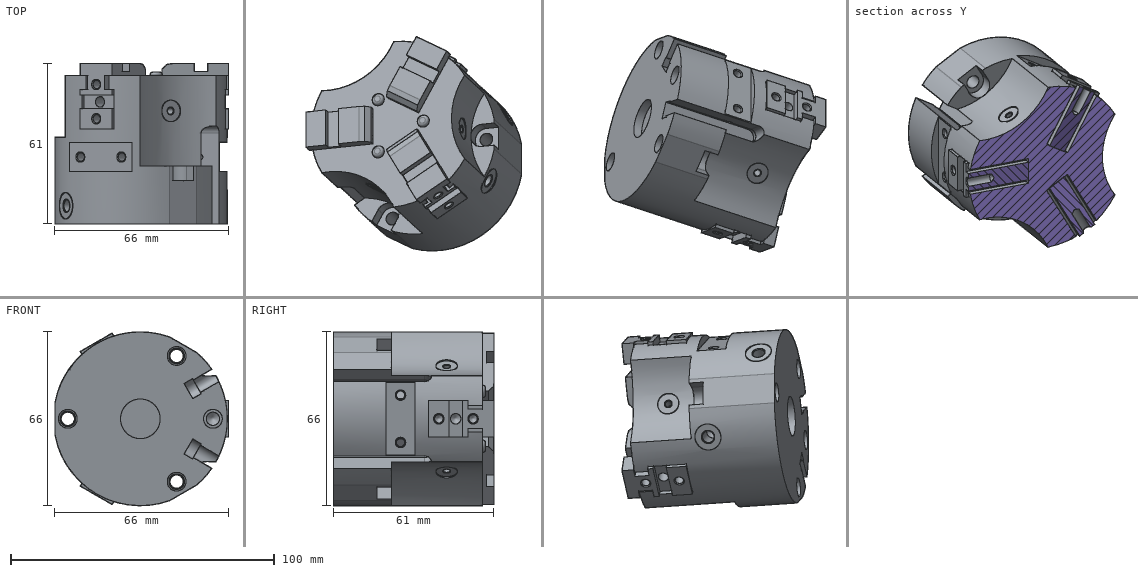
import cadquery as cq
import math


BODY_RADIUS = 33.0
COVER_SEAT = 51.0
COVER_TOP = 56.5
FLAT_RADIUS = 32.5
RECESS_ANGLES = (60, 180, 300)
RECESS_STARTS = {60: 22.0, 180: 33.0, 300: 22.0}
RECESS_RADIUS = 28.85
RECESS_AXIS = 52.1

CENTRE_BORE_RADIUS = 7.5
CENTRE_BORE_DEPTH = 3.3
BOLT_CIRCLE = 27.5
BOLT_RADIUS = 2.5
SLEEVE_RADIUS = 3.55
SLEEVE_DEPTH = 3.95
BOLT_CHAMFER = 0.45
BOLT_POCKET_RADIUS = 4.4
BOLT_POCKET_DEPTH = 5.5
BLIND_HOLE_DEPTH = 9.9
DRILL_HALF_ANGLE = math.radians(59)

SENSOR_ANGLES = (-30, 30)
SENSOR_END = 34.5
SENSOR_RADIUS = 2.7
SENSOR_HEAD_RADIUS = 3.3
SENSOR_HEAD_START = 21.05
SENSOR_HEAD_END = 24.75

JAW_ANGLES = (0, 120, 240)
JAW_FACE = 33.5
JAW_TIP = 8.1
JAW_WIDTH = 14.0
JAW_START = 36.1
JAW_END = 61.0
NECK_WIDTH = 7.4
COVER_SLOT_WIDTH = 9.95
TIP_BEVEL_START = 58.8
TIP_BEVEL_RADIUS = 10.1
TIP_BEVEL_END = 60.65
TIP_EASE_RADIUS = 12.3
KEYWAY_START = 20.5
KEYWAY_WIDTH = 5.0
KEYWAY_DEPTH = 3.0
GROOVE_START = 43.8
GROOVE_END = 49.0
GROOVE_FLOOR = 30.6
JAW_HOLE_PLACES = (40.0, 53.0)
GROOVE_HOLE_Y = (GROOVE_START + GROOVE_END) / 2
GROOVE_HOLE_RADIUS = 2.0

TAPPED_RADIUS = 2.0
TAPPED_CHAMFER = 0.4
TAPPED_DEPTH = 9.9

PAD_ANGLES = (0, 120)
PAD_RADIUS = 30.0
PAD_START = 20.0
PAD_END = 31.0
PAD_HOLE_Y = 25.5
PAD_HOLE_SPACING = 17.95

AIR_PORTS = ((150, 7.0), (210, 26.5))
PORT_SPOT_RADIUS = 5.0
PORT_MOUTH_RADIUS = 2.6
PORT_CHAMFER = 0.3
PORT_DEPTH = 9.9

PLUG_Y = 42.95
PLUG_FLOOR = 23.0
PLUG_SPOT_RADIUS = 4.1
PLUG_MOUTH_RADIUS = 1.5
PLUG_CHAMFER = 0.25
PLUG_HOLE_DEPTH = 5.3

SCREW_CIRCLE = 12.0
SCREW_RADIUS = 2.4
SCREW_HEIGHT = 1.25
SCREW_ROUNDING = 1.2

INWARD = (-1, 0, 0)
FORWARD = (0, 1, 0)

OUTSIDE = 39.6


def block(r0, r1, y0, y1, width):
    """Block from radius r0 to r1 and from y0 to y1, centred on z = 0."""
    box = cq.Workplane("XY").box(r1 - r0, y1 - y0, width, centered=(False, False, True))
    return box.translate((r0, y0, 0))


def axial(radius, y0, y1, r=0):
    """Cylinder along Y from y0 to y1, at distance r from the axis."""
    return cq.Workplane(cq.Solid.makeCylinder(radius, y1 - y0, cq.Vector(r, y0, 0), cq.Vector(0, 1, 0)))


def radial(radius, r0, r1, y):
    """Cylinder along X from radius r0 to r1, at height y above the mounting face."""
    return cq.Workplane(cq.Solid.makeCylinder(radius, r1 - r0, cq.Vector(r0, y, 0), cq.Vector(1, 0, 0)))


def turned(shape, angle):
    """Turn a shape about the axis, from +X toward +Z for a positive angle."""
    return shape.rotate((0, 0, 0), (0, -1, 0), angle)


def drilled(mouth_radius, chamfer, depth, start, direction):
    """Cutter for a blind hole with a chamfered mouth and a drill-point bottom."""
    radius = mouth_radius - chamfer
    tip = depth + radius / math.tan(DRILL_HALF_ANGLE)
    plane = cq.Plane(origin=start, xDir=(0, 0, 1), normal=cq.Vector(0, 0, 1).cross(cq.Vector(direction)))
    profile = cq.Workplane(plane).lineTo(mouth_radius, 0)
    if chamfer > 0:
        profile = profile.lineTo(radius, chamfer)
    return profile.lineTo(radius, depth).lineTo(0, tip).close().revolve(360, (0, 0), (0, 1))


def tapped_hole(face, y, z=0):
    """Cutter for a small tapped hole in a flat at the given distance from the axis."""
    return drilled(TAPPED_RADIUS, TAPPED_CHAMFER, TAPPED_DEPTH, (face, y, z), INWARD)


def recess_cutter(angle):
    """Concave recess between two jaws, with the flat in front of it and the plug in its wall."""
    start = RECESS_STARTS[angle]
    flat = block(FLAT_RADIUS, OUTSIDE, 0, COVER_TOP, 2 * BODY_RADIUS)
    recess = axial(RECESS_RADIUS, start, COVER_TOP, RECESS_AXIS)
    spot = radial(PLUG_SPOT_RADIUS, PLUG_FLOOR, BODY_RADIUS, PLUG_Y)
    hole = drilled(PLUG_MOUTH_RADIUS, PLUG_CHAMFER, PLUG_HOLE_DEPTH, (PLUG_FLOOR, PLUG_Y, 0), INWARD)
    return turned(flat.union(recess).union(spot).union(hole), angle)


def bolt_cutter(angle):
    """Through hole from the mounting face into an open pocket at the front end of a recess."""
    start = RECESS_STARTS[angle]
    pocket_floor = start - BOLT_POCKET_DEPTH
    sleeve = axial(SLEEVE_RADIUS, 0, SLEEVE_DEPTH, BOLT_CIRCLE)
    mouth = (BOLT_CIRCLE, SLEEVE_DEPTH, 0)
    hole = drilled(BOLT_RADIUS + BOLT_CHAMFER, BOLT_CHAMFER, pocket_floor - SLEEVE_DEPTH, mouth, FORWARD)
    pocket = axial(BOLT_POCKET_RADIUS, pocket_floor, start, BOLT_CIRCLE)
    opening = block(BOLT_CIRCLE, OUTSIDE, pocket_floor, start, 2 * BOLT_POCKET_RADIUS)
    return turned(sleeve.union(hole).union(pocket).union(opening), angle)


def blind_bolt_cutter():
    """The fourth sleeve seat, over a blind hole, lies in line with the jaw at angle 0."""
    sleeve = axial(SLEEVE_RADIUS, 0, SLEEVE_DEPTH, BOLT_CIRCLE)
    hole = drilled(BOLT_RADIUS, 0, BLIND_HOLE_DEPTH, (BOLT_CIRCLE, 0, 0), FORWARD)
    return sleeve.union(hole)


def round_ended_slot(radius, r0, r1):
    """Slot open at the mounting face, with a half-round far end."""
    return block(r0, r1, 0, SENSOR_END, 2 * radius).union(radial(radius, r0, r1, SENSOR_END))


def sensor_cutter(angle):
    """T-shaped sensor slot: a wider head near the axis and a throat open to the outside."""
    head = round_ended_slot(SENSOR_HEAD_RADIUS, SENSOR_HEAD_START, SENSOR_HEAD_END)
    throat = round_ended_slot(SENSOR_RADIUS, SENSOR_HEAD_END, OUTSIDE)
    return turned(head.union(throat), angle)


def pad_cutter(angle):
    """Flat pad in front of a jaw, with its two tapped holes."""
    pad = block(PAD_RADIUS, OUTSIDE, PAD_START, PAD_END, 2 * BODY_RADIUS)
    for z in (-PAD_HOLE_SPACING / 2, PAD_HOLE_SPACING / 2):
        pad = pad.union(tapped_hole(PAD_RADIUS, PAD_HOLE_Y, z))
    return turned(pad, angle)


def guide_cutter(angle):
    """Guide for one jaw: a wide channel in the housing and a narrower slot in the cover."""
    channel = block(JAW_TIP, OUTSIDE, JAW_START, COVER_SEAT, JAW_WIDTH)
    slot = block(JAW_TIP, OUTSIDE, COVER_SEAT, COVER_TOP, COVER_SLOT_WIDTH)
    return turned(channel.union(slot), angle)


def port_cutter(angle, y):
    """Air port: a spot face with a blind hole."""
    spot = radial(PORT_SPOT_RADIUS, FLAT_RADIUS, OUTSIDE, y)
    hole = drilled(PORT_MOUTH_RADIUS, PORT_CHAMFER, PORT_DEPTH, (FLAT_RADIUS, y, 0), INWARD)
    return turned(spot.union(hole), angle)


def cover_screw(angle):
    """Rounded screw head standing on the cover."""
    head = axial(SCREW_RADIUS, COVER_TOP, COVER_TOP + SCREW_HEIGHT, SCREW_CIRCLE)
    return turned(head.faces(">Y").edges().fillet(SCREW_ROUNDING), angle)


def make_housing():
    body = axial(BODY_RADIUS, 0, COVER_TOP).cut(axial(CENTRE_BORE_RADIUS, 0, CENTRE_BORE_DEPTH))
    for angle in RECESS_ANGLES:
        body = body.cut(recess_cutter(angle)).cut(bolt_cutter(angle))
    for angle in JAW_ANGLES:
        body = body.cut(guide_cutter(angle))
    for angle in PAD_ANGLES:
        body = body.cut(pad_cutter(angle))
    for angle in SENSOR_ANGLES:
        body = body.cut(sensor_cutter(angle))
    for angle, y in AIR_PORTS:
        body = body.cut(port_cutter(angle, y))
    body = body.cut(blind_bolt_cutter())
    for angle in RECESS_ANGLES:
        body = body.union(cover_screw(angle))
    return body


def make_jaw(angle):
    """Jaw with a foot in the housing, a neck through the cover and a bevelled, keyed top."""
    foot = block(JAW_TIP, JAW_FACE, JAW_START, COVER_SEAT, JAW_WIDTH)
    neck = block(JAW_TIP, JAW_FACE, COVER_SEAT, COVER_TOP, NECK_WIDTH)
    top_outline = [
        (JAW_TIP, COVER_TOP),
        (JAW_FACE, COVER_TOP),
        (JAW_FACE, JAW_END),
        (TIP_EASE_RADIUS, JAW_END),
        (TIP_BEVEL_RADIUS, TIP_BEVEL_END),
        (JAW_TIP, TIP_BEVEL_START),
    ]
    top = cq.Workplane("XY").polyline(top_outline).close().extrude(JAW_WIDTH / 2, both=True)
    keyway = block(KEYWAY_START, KEYWAY_START + KEYWAY_WIDTH, JAW_END - KEYWAY_DEPTH, JAW_END, JAW_WIDTH)
    groove = block(GROOVE_FLOOR, OUTSIDE, GROOVE_START, GROOVE_END, JAW_WIDTH)
    groove_hole = drilled(GROOVE_HOLE_RADIUS, 0, TAPPED_DEPTH, (GROOVE_FLOOR, GROOVE_HOLE_Y, 0), INWARD)
    jaw = foot.union(neck).union(top).cut(keyway).cut(groove).cut(groove_hole)
    for y in JAW_HOLE_PLACES:
        jaw = jaw.cut(tapped_hole(JAW_FACE, y))
    return turned(jaw, angle)


housing = make_housing()
jaws = [make_jaw(angle) for angle in JAW_ANGLES]

result = cq.Compound.makeCompound([housing.val(), *[jaw.val() for jaw in jaws]])